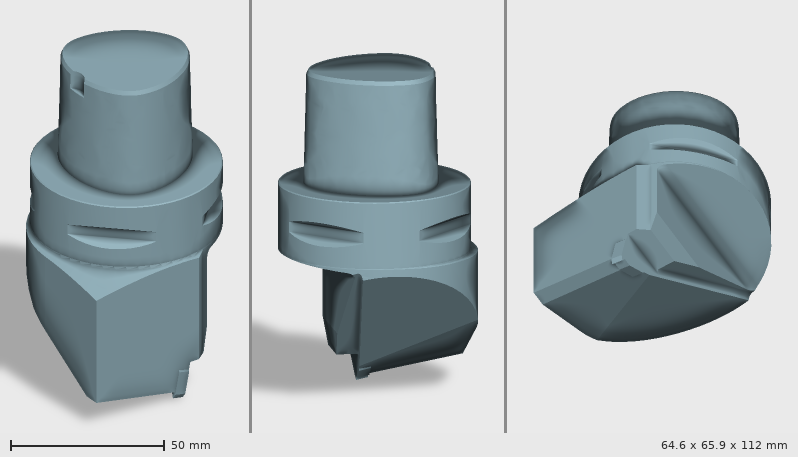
import cadquery as cq
import math


flange_radius = 63.0 / 2
flange_height = 22.3
flange_chamfer = 0.3

shank_height = 38.0
shank_radius = 22.1
shank_lobe = 1.3
shank_taper = 1 / 40
shank_chamfer_height = 1.3
shank_chamfer_inset = 0.7
shank_curve_points = 48

notch_radius = 5.0
notch_depth_y = 17.8
notch_floor_z = 31.5

groove_count = 4
groove_mid_z = -12.0
groove_floor_height = 3.6
groove_floor_distance = 27.9
groove_flank_angle = 30.0
groove_floor_fillet = 0.3

block_rim_radius = 31.6
block_radius = 34.4
block_center_x = block_radius - block_rim_radius
block_front_right_x = 31.8
block_back_right_x = 32.8
block_back_right_y = 5.9
block_corner_x = 30.1
collar_fillet = 0.9
collar_angle = 15.0
reach = 112.0

slope_left_z = -25.0
slope_fall = 0.83
relief_start_z = -51.4
relief_fall_x = 0.59
relief_fall_y = 0.16
bottom_front_z = -65.3
bottom_fall_y = 0.18

back_y = 11.6
back_taper_z = -51.5
back_root_fillet = 2.8
ceiling_rim_z = -22.4
ceiling_angle = 5.0

tip_x = 32.0
tip_z = shank_height - 112
rake_angle = 11.3
shoulder_floor_z = -61.4
shoulder_wall_inset = 3.4
shoulder_wall_fillet = 1.6

insert_side = 16.6
insert_thickness = 4.0
tooth_height = 1.7
corner_half_angle = math.radians(30)
tooth_half_width = tooth_height * math.tan(corner_half_angle)
corner_land = 4.9


def half_space(point, normal):
    """Large box filling the side of a plane that its normal points to."""
    plane = cq.Plane(origin=point, normal=normal)
    return cq.Workplane(plane).rect(2 * reach, 2 * reach).extrude(reach)


def shank_section(radius, z):
    """Rounded three-lobed curve of constant width."""
    points = []
    for i in range(shank_curve_points):
        angle = 2 * math.pi * i / shank_curve_points
        lobe_phase = 3 * (angle - math.pi / 2)
        out = radius + shank_lobe * math.cos(lobe_phase)
        along = -3 * shank_lobe * math.sin(lobe_phase)
        x = out * math.cos(angle) - along * math.sin(angle)
        y = out * math.sin(angle) + along * math.cos(angle)
        points.append(cq.Vector(x, y, z))
    return cq.Wire.assembleEdges([cq.Edge.makeSpline(points, periodic=True)])


def make_shank():
    chamfer_z = shank_height - shank_chamfer_height
    chamfer_radius = shank_radius - chamfer_z * shank_taper
    base = shank_section(shank_radius, 0)
    chamfer_start = shank_section(chamfer_radius, chamfer_z)
    top = shank_section(chamfer_radius - shank_chamfer_inset, shank_height)
    taper = cq.Workplane(cq.Solid.makeLoft([base, chamfer_start], True))
    chamfer = cq.Workplane(cq.Solid.makeLoft([chamfer_start, top], True))
    notch = (
        cq.Workplane("XY", origin=(0, -notch_depth_y - notch_radius, notch_floor_z))
        .circle(notch_radius)
        .extrude(shank_height)
    )
    return taper.union(chamfer).cut(notch)


def make_groove():
    """Flat-bottomed groove with sloping flanks, cut along the +X side of the flange."""
    depth = flange_radius - groove_floor_distance
    floor_half = groove_floor_height / 2
    mouth_half = floor_half + depth * math.tan(math.radians(groove_flank_angle))
    groove = (
        cq.Workplane("XZ", origin=(0, flange_radius, groove_mid_z))
        .moveTo(groove_floor_distance, -floor_half)
        .lineTo(flange_radius, -mouth_half)
        .lineTo(flange_radius, mouth_half)
        .lineTo(groove_floor_distance, floor_half)
        .close()
        .extrude(2 * flange_radius)
    )
    return groove.faces("<X").edges("|Y").fillet(groove_floor_fillet)


def make_flange():
    flange = (
        cq.Workplane("XZ")
        .moveTo(0, 0)
        .lineTo(flange_radius - flange_chamfer, 0)
        .lineTo(flange_radius, -flange_chamfer)
        .lineTo(flange_radius, -flange_height)
        .lineTo(0, -flange_height)
        .close()
        .revolve(360, (0, 0, 0), (0, 1, 0))
    )
    groove = make_groove()
    step = 360 / groove_count
    for i in range(groove_count):
        flange = flange.cut(groove.rotate((0, 0, 0), (0, 0, 1), i * step + step / 2))
    return flange


def block_blank():
    """Plan outline of the block: a disc with a square front right corner, run down to the tip."""
    front_mid = block_radius * math.sqrt(0.5)
    corner_y = math.sqrt(block_rim_radius**2 - block_corner_x**2)
    return (
        cq.Workplane("XY", origin=(0, 0, -flange_height))
        .moveTo(-block_rim_radius, 0)
        .threePointArc((block_center_x - front_mid, -front_mid), (block_center_x, -block_radius))
        .lineTo(block_front_right_x, -block_radius)
        .lineTo(block_back_right_x, block_back_right_y)
        .lineTo(block_corner_x, corner_y)
        .threePointArc((0, block_rim_radius), (-block_rim_radius, 0))
        .close()
        .extrude(tip_z + flange_height)
    )


def back_clearance():
    """Space behind the block, under a ceiling that sinks gently towards the back wall."""
    root_z = ceiling_rim_z - (block_rim_radius - back_y) * math.tan(math.radians(ceiling_angle))
    taper_run = (back_taper_z - tip_z) * math.tan(math.radians(rake_angle))
    return (
        cq.Workplane("YZ", origin=(-reach / 2, 0, 0))
        .moveTo(back_y, root_z)
        .lineTo(block_rim_radius, ceiling_rim_z)
        .lineTo(block_rim_radius, tip_z)
        .lineTo(back_y - taper_run, tip_z)
        .lineTo(back_y, back_taper_z)
        .close()
        .extrude(reach)
        .edges(cq.selectors.NearestToPointSelector((0, back_y, root_z)))
        .fillet(back_root_fillet)
    )


def collar_envelope():
    """Fillet under the flange rim followed by a cone falling away outwards."""
    angle = math.radians(collar_angle)
    center_x = flange_radius + collar_fillet

    def fillet_point(turn):
        return (
            center_x - collar_fillet * math.cos(turn),
            -flange_height - collar_fillet * math.sin(turn),
        )

    turn = math.pi / 2 - angle
    cone_start = fillet_point(turn)
    cone_end_z = cone_start[1] - (2 * flange_radius - cone_start[0]) * math.tan(angle)
    return (
        cq.Workplane("XZ")
        .moveTo(0, -flange_height)
        .lineTo(flange_radius, -flange_height)
        .threePointArc(fillet_point(turn / 2), cone_start)
        .lineTo(2 * flange_radius, cone_end_z)
        .lineTo(2 * flange_radius, -reach)
        .lineTo(0, -reach)
        .close()
        .revolve(360, (0, 0, 0), (0, 1, 0))
    )


def make_block():
    rake = math.radians(rake_angle)
    rake_normal = (0, math.cos(rake), -math.sin(rake))
    slope_normal = (-slope_fall, 0, -1)
    slope_x = -block_rim_radius

    blank = block_blank().intersect(collar_envelope()).cut(back_clearance())
    blank = blank.cut(half_space((slope_x, 0, slope_left_z), slope_normal))
    relief_point = (block_center_x, -block_radius, relief_start_z)
    blank = blank.cut(half_space(relief_point, (-relief_fall_x, -relief_fall_y, -1)))
    bottom_point = (0, -block_radius, bottom_front_z)
    blank = blank.cut(half_space(bottom_point, (0, -bottom_fall_y, -1)))

    behind_rake = half_space((0, 0, tip_z), rake_normal)
    support = blank.cut(behind_rake)
    shoulder = (
        blank.intersect(behind_rake)
        .cut(half_space((slope_x + shoulder_wall_inset, 0, slope_left_z), slope_normal))
        .cut(half_space((0, 0, shoulder_floor_z), (0, 0, -1)))
    )
    block = support.union(shoulder)

    wall_z = (shoulder_floor_z + slope_left_z) / 2
    wall_x = slope_x + shoulder_wall_inset + (slope_left_z - wall_z) / slope_fall
    wall_foot = (wall_x, (wall_z - tip_z) * math.tan(rake), wall_z)
    foot_edge = cq.selectors.NearestToPointSelector(wall_foot)
    return block.edges(foot_edge).fillet(shoulder_wall_fillet)


def make_insert():
    """Triangular insert whose top lies on the rake plane; local origin at the cutting tip."""
    rake = math.radians(rake_angle)
    plane = cq.Plane(
        origin=(tip_x, 0, tip_z),
        xDir=(1, 0, 0),
        normal=(0, -math.cos(rake), math.sin(rake)),
    )
    side_x = tooth_half_width
    land_x = side_x - corner_land
    corner_y = tooth_height - corner_land * math.tan(corner_half_angle)
    center_x = side_x - insert_side / (2 * math.sqrt(3))
    center_y = corner_y + insert_side / 2
    corner = [(land_x, tooth_height), (-side_x, tooth_height), (0, 0), (side_x, tooth_height)]
    outline = []
    for i in range(3):
        turn = 2 * math.pi * i / 3
        for x, y in corner:
            dx = x - center_x
            dy = y - center_y
            turned_x = center_x + dx * math.cos(turn) - dy * math.sin(turn)
            turned_y = center_y + dx * math.sin(turn) + dy * math.cos(turn)
            outline.append((turned_x, turned_y))
    return cq.Workplane(plane).polyline(outline).close().extrude(insert_thickness)


insert = make_insert()
holder = make_shank().union(make_flange()).union(make_block()).cut(insert)

result = cq.Compound.makeCompound([holder.val(), insert.val()])